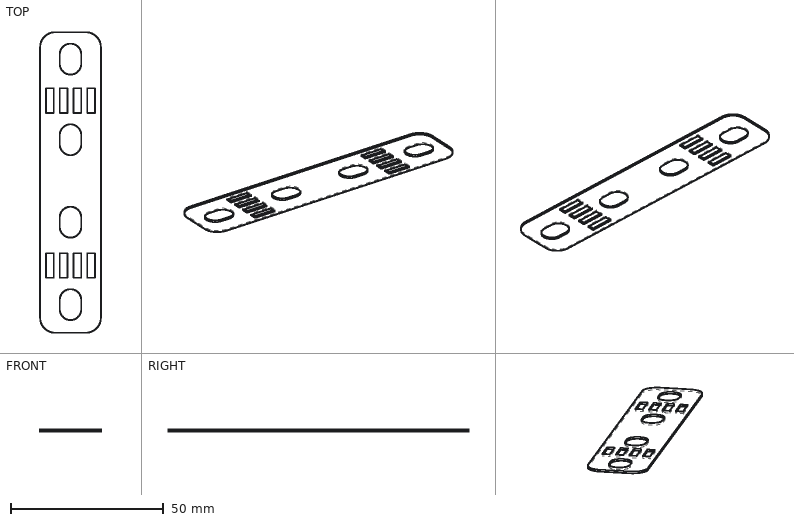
import cadquery as cq

length = 98.5
width = 20.0
thickness = 0.7
corner_radius = 5.0

mount_slot_length = 10.0
mount_slot_width = 7.0
mount_slot_places = [40.4, 14.0, -13.0, -40.0]

window_length = 8.0
window_width = 2.5
window_pitch = 4.48
windows_per_row = 4
window_row_places = [26.8, -27.2]


def strip():
    plate = cq.Workplane("XY").box(width, length, thickness)
    return plate.edges("|Z").fillet(corner_radius)


def mount_slots():
    places = [(0, y) for y in mount_slot_places]
    return (
        cq.Workplane("XY")
        .pushPoints(places)
        .slot2D(mount_slot_length, mount_slot_width, 90)
        .extrude(thickness, both=True)
    )


def window_row(y):
    return (
        cq.Workplane("XY")
        .center(0, y)
        .rarray(window_pitch, 1, windows_per_row, 1)
        .rect(window_width, window_length)
        .extrude(thickness, both=True)
    )


result = strip().cut(mount_slots())
for row_y in window_row_places:
    result = result.cut(window_row(row_y))